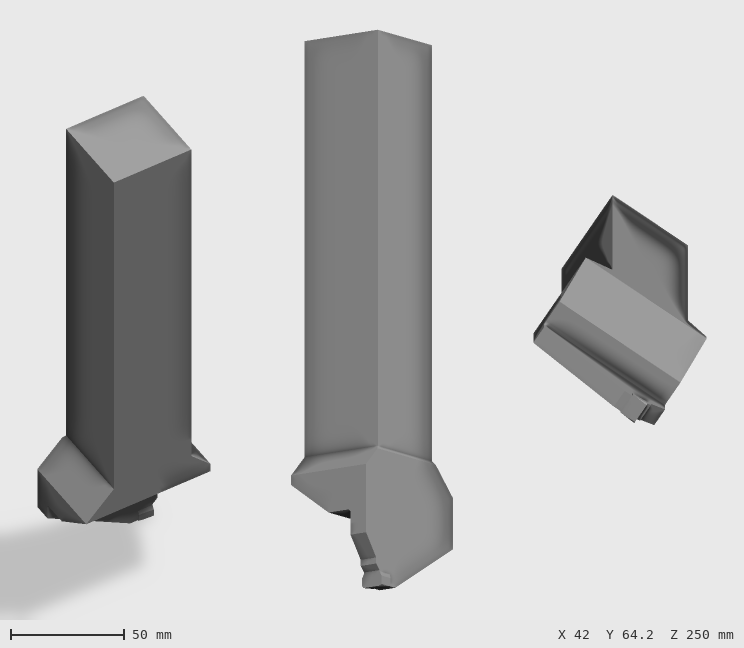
import cadquery as cq

TOTAL_HEIGHT = 250.0
SHANK_SIZE = 40.0
SHANK_HALF = SHANK_SIZE / 2
SHANK_BOTTOM = 63.0

HEAD_STEP = 1.0
HEAD_STEP_HEIGHT = 1.5
HEAD_BACK = 30.0
HEAD_FRONT = -34.2
HEAD_BACK_SHOULDER_Z = SHANK_BOTTOM - (HEAD_BACK - SHANK_HALF)
HEAD_FRONT_SHOULDER_Z = SHANK_BOTTOM - (-SHANK_HALF - HEAD_FRONT)
HEAD_BACK_LOWER_Z = 22.2
HEAD_FRONT_LOWER_Z = 25.8
HEAD_TOE_Y = 8.5
HEAD_BOTTOM_Z = 1.0

BLADE_RIGHT = 7.5
BLADE_TOP_Z = 33.8
BLADE_ROOT_RADIUS = 1.5
TAPER_END_X = 19.5

INSERT_FRONT = 12.5
INSERT_BACK = 20.0
INSERT_TOP_Z = 29.0
LUG_BACK = 22.5
LUG_TOP_Z = 22.8
LUG_BOTTOM_Z = 9.5
LUG_EDGE_Z = 12.2
LUG_SLOPE = LUG_BACK - INSERT_BACK
TIP_OVERHANG = 1.0
TIP_FRONT_OVERHANG = 0.5
TIP_SHOULDER_BOTTOM_Z = 4.5
TIP_SHOULDER_TOP_Z = 6.5
TIP_CHAMFER = 0.8


def side_prism(points, x_start, x_end):
    """Extrude a (Y, Z) outline between two X positions."""
    plane = cq.Workplane("YZ", origin=(x_start, 0, 0))
    return plane.polyline(points).close().extrude(x_end - x_start)


def front_prism(points, y_front, y_back):
    """Extrude an (X, Z) outline between two Y positions."""
    plane = cq.Workplane("XZ", origin=(0, y_back, 0))
    return plane.polyline(points).close().extrude(y_back - y_front)


def insert_outline():
    """Insert outline in (Y, Z), with a lug along its back edge."""
    return [
        (INSERT_FRONT, HEAD_BOTTOM_Z),
        (INSERT_FRONT, INSERT_TOP_Z),
        (INSERT_BACK, INSERT_TOP_Z),
        (INSERT_BACK, LUG_TOP_Z + LUG_SLOPE),
        (LUG_BACK, LUG_TOP_Z),
        (LUG_BACK, LUG_BOTTOM_Z),
        (INSERT_BACK, LUG_BOTTOM_Z - LUG_SLOPE),
        (INSERT_BACK, 0),
    ]


def make_head():
    side_outline = [
        (-SHANK_HALF, SHANK_BOTTOM),
        (SHANK_HALF, SHANK_BOTTOM),
        (HEAD_BACK, HEAD_BACK_SHOULDER_Z),
        (HEAD_BACK, HEAD_BACK_LOWER_Z),
        (LUG_BACK, LUG_EDGE_Z),
        (INSERT_FRONT, HEAD_BOTTOM_Z),
        (HEAD_TOE_Y, HEAD_BOTTOM_Z),
        (HEAD_FRONT, HEAD_FRONT_LOWER_Z),
        (HEAD_FRONT, HEAD_FRONT_SHOULDER_Z),
    ]
    front_outline = [
        (0, SHANK_BOTTOM),
        (SHANK_SIZE, SHANK_BOTTOM),
        (SHANK_SIZE, HEAD_FRONT_SHOULDER_Z),
        (TAPER_END_X, BLADE_TOP_Z),
        (BLADE_RIGHT, BLADE_TOP_Z),
        (BLADE_RIGHT, 0),
        (-HEAD_STEP, 0),
        (-HEAD_STEP, SHANK_BOTTOM - HEAD_STEP_HEIGHT),
    ]
    profile = front_prism(front_outline, HEAD_FRONT, HEAD_BACK)
    root_edge = cq.selectors.NearestToPointSelector((BLADE_RIGHT, 0, BLADE_TOP_Z))
    profile = profile.edges("|Y").edges(root_edge).fillet(BLADE_ROOT_RADIUS)
    return side_prism(side_outline, -HEAD_STEP, SHANK_SIZE).intersect(profile)


def make_holder():
    """Shank and head in one piece, with the insert seat cut through the blade."""
    shank = cq.Workplane("XY", origin=(0, 0, SHANK_BOTTOM)).box(
        SHANK_SIZE, SHANK_SIZE, TOTAL_HEIGHT - SHANK_BOTTOM, centered=(False, True, False)
    )
    seat = side_prism(insert_outline(), -HEAD_STEP, BLADE_RIGHT)
    return shank.union(make_head()).cut(seat)


def tip_section(overhang):
    """Front (X, Z) section of the insert with the given side overhang at the tip."""
    left = -HEAD_STEP
    tip_left = left - overhang
    tip_right = BLADE_RIGHT + overhang
    return [
        (left, INSERT_TOP_Z),
        (BLADE_RIGHT, INSERT_TOP_Z),
        (BLADE_RIGHT, TIP_SHOULDER_TOP_Z),
        (tip_right, TIP_SHOULDER_BOTTOM_Z),
        (tip_right, TIP_CHAMFER),
        (tip_right - TIP_CHAMFER, 0),
        (tip_left + TIP_CHAMFER, 0),
        (tip_left, TIP_CHAMFER),
        (tip_left, TIP_SHOULDER_BOTTOM_Z),
        (left, TIP_SHOULDER_TOP_Z),
    ]


def make_insert():
    """Insert flush with the blade; its wider tip narrows toward the front for side relief."""
    relieved_body = (
        cq.Workplane("XZ", origin=(0, INSERT_BACK, 0))
        .polyline(tip_section(TIP_OVERHANG))
        .close()
        .workplane(offset=INSERT_BACK - INSERT_FRONT)
        .polyline(tip_section(TIP_FRONT_OVERHANG))
        .close()
        .loft(ruled=True, combine=True)
    )
    lug = front_prism(tip_section(TIP_OVERHANG), INSERT_BACK, LUG_BACK)
    profile = relieved_body.union(lug)
    outline = side_prism(insert_outline(), -HEAD_STEP - TIP_OVERHANG, BLADE_RIGHT + TIP_OVERHANG)
    return outline.intersect(profile).clean()


holder = make_holder()
insert = make_insert()
result = cq.Compound.makeCompound([holder.solids().val(), insert.solids().val()])